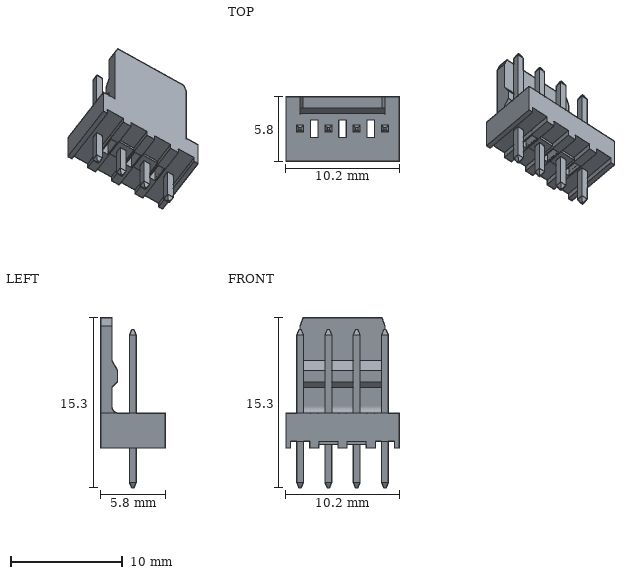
import cadquery as cq


PIN_COUNT = 4
PITCH = 2.53
PIN_WIDTH = 0.63
PIN_TIP_WIDTH = 0.2
PIN_TIP_LENGTH = 0.5
PIN_TOP = 14.2
PIN_Y = -2.88

BASE_WIDTH = 10.16
BASE_DEPTH = 5.8
BASE_BOTTOM = 3.59
BASE_TOP = 6.71

CHANNEL_WIDTH = 1.7
CHANNEL_HEIGHT = 0.61
CHANNEL_STEP_HEIGHT = 0.3

SLOT_WIDTH = 0.64
SLOT_LENGTH = 1.53
SLOT_FRONT = PIN_Y - SLOT_LENGTH / 2
SLOT_REAR = PIN_Y + SLOT_LENGTH / 2

WALL_WIDTH = 7.63
WALL_THICKNESS = 1.02
WALL_TOP = 15.26
WALL_CORNER_WIDTH = 0.27
WALL_CORNER_HEIGHT = 0.76
WALL_FOOT_RADIUS = 0.6

RIDGE_PROJECTION = 0.5
RIDGE_BOTTOM = 9.02
RIDGE_FACE_BOTTOM = RIDGE_BOTTOM + RIDGE_PROJECTION
RIDGE_FACE_TOP = 10.53
RIDGE_TOP = 11.41


def centred_positions(count):
    """X positions of a row at the pin pitch, centred on X = 0."""
    return [(i - (count - 1) / 2) * PITCH for i in range(count)]


PIN_POSITIONS = centred_positions(PIN_COUNT)
INNER_PIN_POSITIONS = PIN_POSITIONS[1:-1]
SLOT_POSITIONS = centred_positions(PIN_COUNT - 1)


def block(width, front, rear, bottom, top, x=0):
    """Box centred on x, spanning the given Y and Z limits."""
    return (
        cq.Workplane("XY")
        .box(width, rear - front, top - bottom, centered=(True, False, False))
        .translate((x, front, bottom))
    )


def make_base():
    base = block(BASE_WIDTH, -BASE_DEPTH, 0, BASE_BOTTOM, BASE_TOP)
    channel_roof = BASE_BOTTOM + CHANNEL_HEIGHT
    for x in PIN_POSITIONS:
        base = base.cut(block(CHANNEL_WIDTH, -BASE_DEPTH, 0, BASE_BOTTOM, channel_roof, x))
    step_bottom = channel_roof - CHANNEL_STEP_HEIGHT
    for x in INNER_PIN_POSITIONS:
        step = block(CHANNEL_WIDTH, SLOT_FRONT, SLOT_REAR, step_bottom, channel_roof, x)
        base = base.union(step)
    for x in SLOT_POSITIONS:
        base = base.cut(block(SLOT_WIDTH, SLOT_FRONT, SLOT_REAR, BASE_BOTTOM, BASE_TOP, x))
    return base


def make_wall():
    face = -WALL_THICKNESS
    ridge_face = face - RIDGE_PROJECTION
    foot_end = face - WALL_FOOT_RADIUS
    foot_top = BASE_TOP + WALL_FOOT_RADIUS
    wall = (
        cq.Workplane("YZ")
        .moveTo(0, BASE_TOP)
        .lineTo(0, WALL_TOP)
        .lineTo(face, WALL_TOP)
        .lineTo(face, RIDGE_TOP)
        .lineTo(ridge_face, RIDGE_FACE_TOP)
        .lineTo(ridge_face, RIDGE_FACE_BOTTOM)
        .lineTo(face, RIDGE_BOTTOM)
        .lineTo(face, foot_top)
        .radiusArc((foot_end, BASE_TOP), WALL_FOOT_RADIUS)
        .close()
        .extrude(WALL_WIDTH / 2, both=True)
    )
    for side in (-1, 1):
        edge = side * WALL_WIDTH / 2
        corner = (
            cq.Workplane("XZ")
            .moveTo(edge, WALL_TOP)
            .lineTo(edge - side * WALL_CORNER_WIDTH, WALL_TOP)
            .lineTo(edge, WALL_TOP - WALL_CORNER_HEIGHT)
            .close()
            .extrude(WALL_THICKNESS)
        )
        wall = wall.cut(corner)
    return wall


def make_pin(x):
    shaft_bottom = PIN_TIP_LENGTH
    shaft_top = PIN_TOP - PIN_TIP_LENGTH
    pin = (
        cq.Workplane("XY")
        .rect(PIN_TIP_WIDTH, PIN_TIP_WIDTH)
        .workplane(offset=shaft_bottom)
        .rect(PIN_WIDTH, PIN_WIDTH)
        .loft(ruled=True)
        .faces(">Z")
        .workplane()
        .rect(PIN_WIDTH, PIN_WIDTH)
        .extrude(shaft_top - shaft_bottom)
        .faces(">Z")
        .workplane()
        .rect(PIN_WIDTH, PIN_WIDTH)
        .workplane(offset=PIN_TIP_LENGTH)
        .rect(PIN_TIP_WIDTH, PIN_TIP_WIDTH)
        .loft(ruled=True)
    )
    return pin.translate((x, PIN_Y, 0))


result = make_base().union(make_wall())
for pin_x in PIN_POSITIONS:
    result = result.union(make_pin(pin_x))